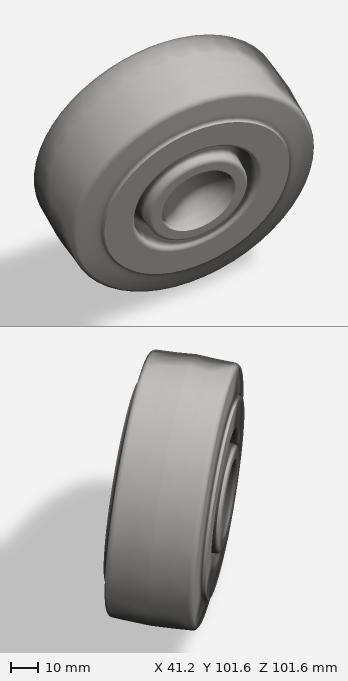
import cadquery as cq
import math

TREAD_RADIUS = 50.8
CROWN_EDGE_RADIUS = 50.1
CROWN_EDGE_X = 14.7
SHOULDER_ROUND_X = 16.8
SHOULDER_ROUND_RADIUS = 48.1
SHOULDER_BULGE = 0.4
FLANK_FOOT_X = 17.8
FLANK_FOOT_RADIUS = 39.2
SIDE_FACE_X = 19.1
STEP_RADIUS = 38.0
CORE_RADIUS = 33.6

BORE_RADIUS = 15.1
HUB_END_X = 20.6
HUB_RADIUS = 20.5
HUB_ROOT_RADIUS = 21.3
GROOVE_MOUTH_RADIUS = 25.3
GROOVE_ROOT_RADIUS = 24.3
GROOVE_ROOT_X = 9.1
EDGE_ROUND = 1.5

ROUND_45 = math.sqrt(0.5)


def revolve_about_x(profile):
    """Turn a closed profile, drawn as (x, radius), fully around the X axis."""
    return profile.revolve(360, (0, 0, 0), (1, 0, 0))


def both_sides(half):
    """Join a half wheel lying on X >= 0 to its mirror image."""
    return half.union(half.mirror("YZ")).clean()


def make_tread():
    shoulder_middle = (
        (CROWN_EDGE_X + SHOULDER_ROUND_X) / 2 + SHOULDER_BULGE,
        (CROWN_EDGE_RADIUS + SHOULDER_ROUND_RADIUS) / 2 + SHOULDER_BULGE,
    )
    foot_width = SIDE_FACE_X - FLANK_FOOT_X
    foot_height = FLANK_FOOT_RADIUS - STEP_RADIUS
    foot_middle = (
        SIDE_FACE_X - foot_width * ROUND_45,
        FLANK_FOOT_RADIUS - foot_height * ROUND_45,
    )
    profile = (
        cq.Workplane("XY")
        .moveTo(0, CORE_RADIUS)
        .lineTo(0, TREAD_RADIUS)
        .lineTo(CROWN_EDGE_X, CROWN_EDGE_RADIUS)
        .threePointArc(shoulder_middle, (SHOULDER_ROUND_X, SHOULDER_ROUND_RADIUS))
        .lineTo(FLANK_FOOT_X, FLANK_FOOT_RADIUS)
        .threePointArc(foot_middle, (SIDE_FACE_X, STEP_RADIUS))
        .lineTo(SIDE_FACE_X, CORE_RADIUS)
        .close()
    )
    return both_sides(revolve_about_x(profile))


def make_core():
    round_rise = EDGE_ROUND * ROUND_45
    mouth_round_middle = (
        SIDE_FACE_X - EDGE_ROUND + round_rise,
        GROOVE_MOUTH_RADIUS + EDGE_ROUND - round_rise,
    )
    hub_round_middle = (
        HUB_END_X - EDGE_ROUND + round_rise,
        HUB_RADIUS - EDGE_ROUND + round_rise,
    )
    groove_bottom = (
        GROOVE_ROOT_X - (GROOVE_ROOT_RADIUS - HUB_ROOT_RADIUS) / 2,
        (GROOVE_ROOT_RADIUS + HUB_ROOT_RADIUS) / 2,
    )
    profile = (
        cq.Workplane("XY")
        .moveTo(0, BORE_RADIUS)
        .lineTo(0, CORE_RADIUS)
        .lineTo(SIDE_FACE_X, CORE_RADIUS)
        .lineTo(SIDE_FACE_X, GROOVE_MOUTH_RADIUS + EDGE_ROUND)
        .threePointArc(mouth_round_middle, (SIDE_FACE_X - EDGE_ROUND, GROOVE_MOUTH_RADIUS))
        .lineTo(GROOVE_ROOT_X, GROOVE_ROOT_RADIUS)
        .threePointArc(groove_bottom, (GROOVE_ROOT_X, HUB_ROOT_RADIUS))
        .lineTo(HUB_END_X - EDGE_ROUND, HUB_RADIUS)
        .threePointArc(hub_round_middle, (HUB_END_X, HUB_RADIUS - EDGE_ROUND))
        .lineTo(HUB_END_X, BORE_RADIUS)
        .close()
    )
    return both_sides(revolve_about_x(profile))


tread = make_tread()
core = make_core()

result = cq.Compound.makeCompound([tread.val(), core.val()])